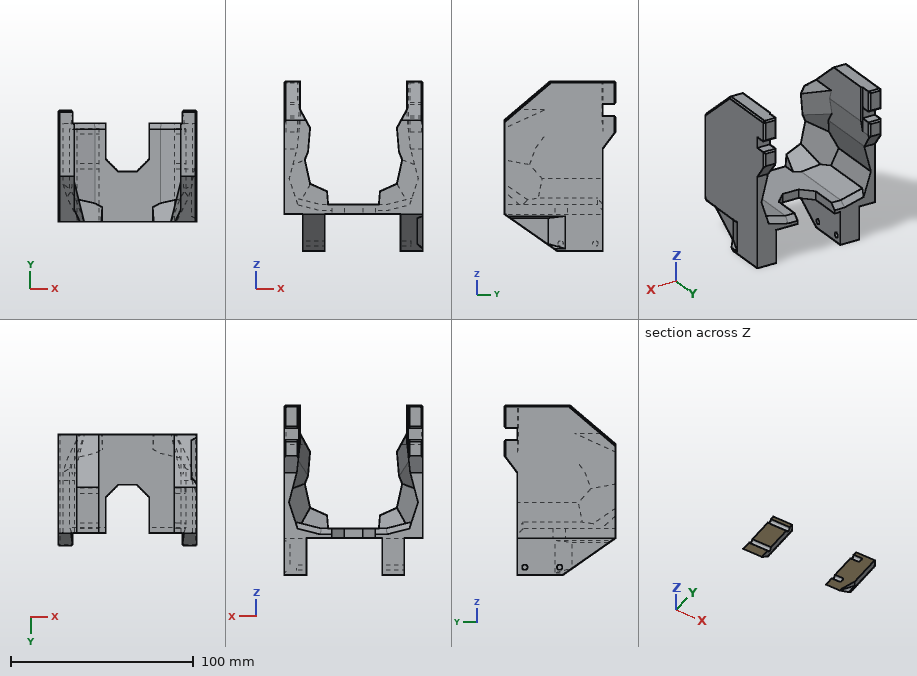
import cadquery as cq
import math

width = 76.0
total_height = 93.0
body_depth = 54.0
tongue_length = 7.0
leg_height = 20.3
edge_chamfer = 0.9
half_width = width / 2
rear_end = body_depth + tongue_length

front_face_top = 71.7
slope_run = 25.1
notch_bottom = 74.0
notch_top = 80.5
tongue_bottom = 65.5
tongue_root = 56.2

floor_height = 25.6
floor_half_width = 17.9
channel_half_width = 29.3
wall_bottom = 72.1
upper_bulge = (31.0, 56.5)
widest_bulge = (35.3, 39.8)
ramp_top = (31.8, 29.1)
rear_chamfer = 3.3
wall_chamfer = 0.65

lip_front = [
    (channel_half_width, 77.7),
    (23.7, 67.4),
    (24.8, 54.3),
    (26.6, 50.0),
    (23.7, 36.9),
    (14.4, 32.7),
    (13.9, floor_height),
]
lip_drafts = [0, 16, 21, 27.5, 38, 0]
lip_length = 23.25
lip_bury = 13.95

slot_half_width = 11.9
slot_end = 27.6
slot_corner = 6.8

leg_thickness = 12.3
left_leg_outer = -27.9
leg_bottom_front = 29.0
hole_diameter = 3.0
hole_height = 4.3
hole_positions = (30.7, 49.8)
right_hole_depth = 5.6

recess_depth = 3.1
recess_floor = {"rear": 24.2, "bottom": 3.9, "top": 18.0}
recess_mouth = {"rear": 33.5, "bottom": 1.3, "top": 19.2}


def meet(line_a, line_b):
    """Point where two lines, each given by two points, cross."""
    (ax, az), (bx, bz) = line_a
    (cx, cz), (dx, dz) = line_b
    ux, uz = bx - ax, bz - az
    vx, vz = dx - cx, dz - cz
    t = ((cx - ax) * vz - (cz - az) * vx) / (ux * vz - uz * vx)
    return (ax + t * ux, az + t * uz)


def shift(start, end, distance):
    """Line from start to end, moved sideways to its left by distance."""
    dx, dz = end[0] - start[0], end[1] - start[1]
    length = math.hypot(dx, dz)
    ox, oz = -dz / length * distance, dx / length * distance
    return ((start[0] + ox, start[1] + oz), (end[0] + ox, end[1] + oz))


def section(points, y):
    """Closed outline in the XZ plane at depth y."""
    return cq.Wire.makePolygon([cq.Vector(x, y, z) for x, z in points], close=True)


def tapered(front, y_front, rear, y_rear):
    """Solid between two matching outlines."""
    return cq.Workplane(cq.Solid.makeLoft([section(front, y_front), section(rear, y_rear)], True))


def mirrored(right_half):
    """Outline completed by its mirror image across X = 0."""
    return right_half + [(-x, other) for x, other in reversed(right_half)]


def extrude_side(points, x_start, x_end):
    """Prism along X from an outline of (Y, Z) points."""
    return cq.Workplane("YZ", origin=(x_start, 0, 0)).polyline(points).close().extrude(x_end - x_start)


def body_block():
    profile = [
        (0, leg_height),
        (0, front_face_top),
        (slope_run, total_height),
        (rear_end, total_height),
        (rear_end, notch_top),
        (body_depth, notch_top),
        (body_depth, notch_bottom),
        (rear_end, notch_bottom),
        (rear_end, tongue_bottom),
        (body_depth, tongue_root),
        (body_depth, leg_height),
    ]
    block = extrude_side(profile, -half_width, half_width)
    rims = block.newObject([])
    for side in (-half_width, half_width):
        for y, z in (
            ((slope_run + rear_end) / 2, total_height),
            (slope_run / 2, (front_face_top + total_height) / 2),
        ):
            rims = rims.add(block.edges(cq.NearestToPointSelector((side, y, z))))
    return rims.chamfer(edge_chamfer)


def channel():
    right_half = [
        (floor_half_width, floor_height),
        ramp_top,
        widest_bulge,
        upper_bulge,
        (channel_half_width, wall_bottom),
        (channel_half_width, total_height),
    ]
    main = cq.Workplane("XZ").polyline(mirrored(right_half)).close().extrude(-rear_end)
    return main.union(rear_floor_flare()).union(rear_wall_flare())


def rear_floor_flare():
    """45-degree chamfer along the rear edge of the floor and its ramps."""
    def outline(drop):
        lowered = floor_height - drop
        ramp = shift(ramp_top, (floor_half_width, floor_height), drop)
        foot = meet(ramp, ((0, lowered), (1, lowered)))
        head = meet(ramp, (ramp_top, widest_bulge))
        return mirrored([foot, head, widest_bulge])
    start = body_depth - rear_chamfer
    return tapered(outline(0), start, outline(rear_chamfer), body_depth)


def rear_wall_flare():
    """Small step that thins the tongues, led in by a chamfer."""
    slant = (upper_bulge[0] - channel_half_width) / (wall_bottom - upper_bulge[1])
    flare_bottom = wall_bottom - wall_chamfer / slant
    start = body_depth - wall_chamfer
    wide = channel_half_width + wall_chamfer
    right_half = [(channel_half_width, start), (wide, body_depth), (wide, rear_end)]
    flare = cq.Workplane("XY", origin=(0, 0, flare_bottom)).polyline(mirrored(right_half)).close()
    return flare.extrude(total_height - flare_bottom)


def lip_outline(depth):
    """Right lip section; every edge recedes with depth by its own draft angle."""
    edges = []
    for start, end, draft in zip(lip_front, lip_front[1:], lip_drafts):
        edges.append(shift(start, end, depth * math.tan(math.radians(draft))))
    bottom = floor_height - lip_bury
    outer = channel_half_width + lip_bury
    top = meet(edges[0], ((outer, 0), (outer, 1)))
    corners = [meet(a, b) for a, b in zip(edges, edges[1:])]
    foot = meet(edges[-1], ((0, bottom), (1, bottom)))
    return [top] + corners + [foot, (outer, bottom)]


def lips():
    right = tapered(lip_outline(0), 0, lip_outline(lip_length), lip_length)
    return right.union(right.mirror("YZ"))


def floor_slot():
    right_half = [
        (slot_half_width - slot_corner, slot_end),
        (slot_half_width, slot_end + slot_corner),
        (slot_half_width, rear_end),
    ]
    return cq.Workplane("XY").polyline(mirrored(right_half)).close().extrude(total_height)


def hole(x_start, y, length):
    return cq.Workplane("YZ", origin=(x_start, y, hole_height)).circle(hole_diameter / 2).extrude(length)


def legs():
    profile = [(0, leg_height), (body_depth, leg_height), (body_depth, 0), (leg_bottom_front, 0)]
    right_leg_inner = half_width - leg_thickness
    left = extrude_side(profile, left_leg_outer, left_leg_outer + leg_thickness)
    right = extrude_side(profile, right_leg_inner, half_width)
    for y in hole_positions:
        left = left.cut(hole(left_leg_outer, y, leg_thickness))
        right = right.cut(hole(right_leg_inner, y, right_hole_depth))
    return left.union(right)


def recess():
    """Tapered pocket, open through the sloping front of the right leg."""
    def outline(x, limits):
        low, high = limits["bottom"], limits["top"]
        corners = [(0, low), (limits["rear"], low), (limits["rear"], high), (0, high)]
        return cq.Wire.makePolygon([cq.Vector(x, y, z) for y, z in corners], close=True)
    floor = outline(half_width - recess_depth, recess_floor)
    mouth = outline(half_width, recess_mouth)
    return cq.Workplane(cq.Solid.makeLoft([floor, mouth], True))


body = body_block().cut(channel().cut(lips())).cut(floor_slot())
body = body.faces(">Y").edges("not <Z").chamfer(edge_chamfer)
result = body.union(legs().cut(recess()))